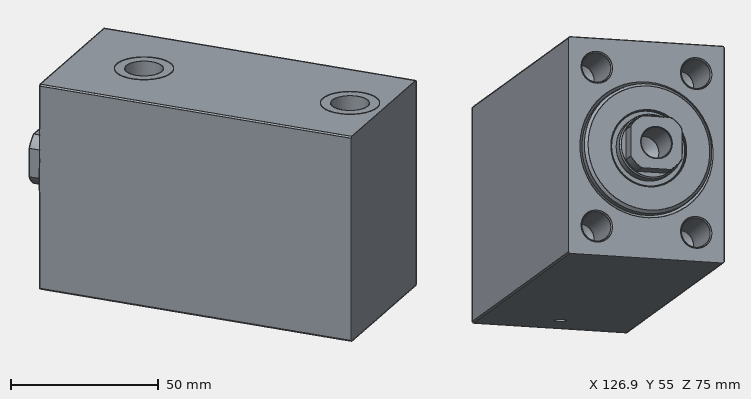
import cadquery as cq
import math


housing_length = 115.0
housing_width = 55.0
housing_height = 75.0
edge_chamfer = 0.5

mount_spacing_y = 35.0
mount_spacing_z = 55.0
mount_diameter = 10.2
mount_mouth_diameter = 11.0
mount_depth = 20.3

top_face_z = housing_height / 2
front_port_x = 26.5
rear_port_x = housing_length - 12.5
spotface_diameter = 20.1
spotface_depth = 0.1
port_diameter = 13.1
port_depth = 12.0
oil_hole_diameter = 4.0

gland_diameter = 45.0
gland_projection = 2.9
gland_insertion = 20.0
gland_chamfer = 1.0
gland_mouth_diameter = 47.0
wiper_recess_diameter = 26.7
wiper_seat_diameter = 26.0
wiper_recess_depth = 0.5
wiper_seat_depth = 1.3

rod_diameter = 22.4
rod_chamfer = 0.5
rod_projection = 3.0
rod_insertion = 50.8
tip_length = 6.0
tip_diameter = 20.8
tip_across_flats = 18.0
rod_hole_diameter = 10.7
rod_hole_mouth_diameter = 11.2
rod_hole_depth = 15.2

drill_point_angle = 118.0

gland_front_x = -gland_projection
collar_front_x = gland_front_x - rod_projection
tip_front_x = collar_front_x - tip_length


def x_cylinder(diameter, x_start, x_end):
    """Cylinder on the X axis between two stations."""
    return cq.Workplane("YZ", origin=(x_start, 0, 0)).circle(diameter / 2).extrude(x_end - x_start)


def vertical_cylinder(diameter, x, z_bottom, z_top):
    """Cylinder along Z, centred on the given X station."""
    return cq.Workplane("XY", origin=(x, 0, z_bottom)).circle(diameter / 2).extrude(z_top - z_bottom)


def drilled_hole(diameter, mouth_diameter, depth):
    """Cutter running along +X from X = 0: 45 degree mouth chamfer, bore and conical drill point."""
    radius = diameter / 2
    mouth_radius = mouth_diameter / 2
    point_length = radius / math.tan(math.radians(drill_point_angle / 2))
    return (
        cq.Workplane("XY")
        .moveTo(0, 0)
        .lineTo(0, mouth_radius)
        .lineTo(mouth_radius - radius, radius)
        .lineTo(depth, radius)
        .lineTo(depth + point_length, 0)
        .close()
        .revolve(360, (0, 0, 0), (1, 0, 0))
    )


def gland_seat():
    """Cutter for the gland bore with a 45 degree chamfer at the housing face."""
    mouth_chamfer = (gland_mouth_diameter - gland_diameter) / 2
    return (
        cq.Workplane("XY")
        .moveTo(0, 0)
        .lineTo(0, gland_mouth_diameter / 2)
        .lineTo(mouth_chamfer, gland_diameter / 2)
        .lineTo(gland_insertion, gland_diameter / 2)
        .lineTo(gland_insertion, 0)
        .close()
        .revolve(360, (0, 0, 0), (1, 0, 0))
    )


def port(x, oil_hole_bottom_z):
    """Cutter for one oil port: spotface, flat-bottomed port and a small oil hole below it."""
    spotface = vertical_cylinder(spotface_diameter, x, top_face_z - spotface_depth, top_face_z)
    socket = vertical_cylinder(port_diameter, x, top_face_z - port_depth, top_face_z)
    oil_hole = vertical_cylinder(oil_hole_diameter, x, oil_hole_bottom_z, top_face_z)
    return spotface.union(socket).union(oil_hole)


def make_housing():
    block = (
        cq.Workplane("XY")
        .box(housing_length, housing_width, housing_height)
        .edges("|X")
        .chamfer(edge_chamfer)
        .translate((housing_length / 2, 0, 0))
    )
    block = block.cut(gland_seat())
    block = block.cut(x_cylinder(rod_diameter, 0, rod_insertion))

    mount_hole = drilled_hole(mount_diameter, mount_mouth_diameter, mount_depth)
    for side_y in (-1, 1):
        for side_z in (-1, 1):
            corner = (0, side_y * mount_spacing_y / 2, side_z * mount_spacing_z / 2)
            block = block.cut(mount_hole.translate(corner))

    block = block.cut(port(front_port_x, 0))
    return block.cut(port(rear_port_x, -housing_height / 2))


def make_gland():
    plug = x_cylinder(gland_diameter, gland_front_x, gland_insertion)
    plug = plug.faces("<X").chamfer(gland_chamfer)
    plug = plug.cut(x_cylinder(wiper_recess_diameter, gland_front_x, gland_front_x + wiper_recess_depth))
    plug = plug.cut(x_cylinder(wiper_seat_diameter, gland_front_x, gland_front_x + wiper_seat_depth))
    return plug.cut(x_cylinder(rod_diameter, gland_front_x, gland_insertion))


def make_rod():
    shaft = x_cylinder(rod_diameter, collar_front_x, rod_insertion)
    shaft = shaft.faces("<X").chamfer(rod_chamfer)
    square = (
        cq.Workplane("YZ", origin=(tip_front_x, 0, 0))
        .rect(tip_across_flats, tip_across_flats)
        .extrude(tip_length)
    )
    tip = square.intersect(x_cylinder(tip_diameter, tip_front_x, collar_front_x))
    rod_hole = drilled_hole(rod_hole_diameter, rod_hole_mouth_diameter, rod_hole_depth)
    return shaft.union(tip).cut(rod_hole.translate((tip_front_x, 0, 0)))


housing = make_housing()
gland = make_gland()
rod = make_rod()

result = cq.Compound.makeCompound([housing.val(), gland.val(), rod.val()])